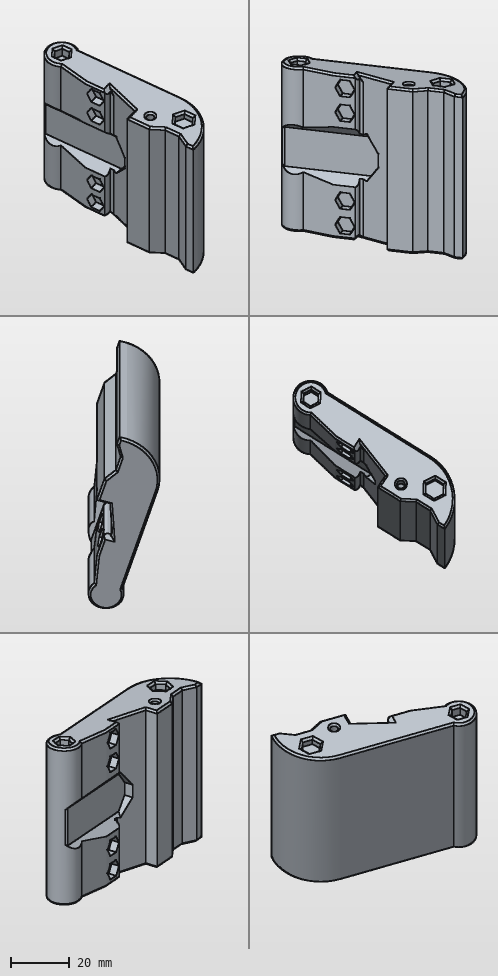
import cadquery as cq
import math

length = 69.35
height = 60.0
thickness = 20.1
edge_chamfer = 0.75

barrel_radius = 6.0
barrel_x = barrel_radius
barrel_y = thickness - barrel_radius
back_y = 18.8
nose_radius = 17.75
nose_start_x = 51.7
pad_y = 6.5
pad_start_x = 20.75
pad_end_x = 28.65
arm_root_x = 9.15
ramp_end_x = 42.15
ramp_end_y = 4.7
ramp_angle = 20.0
jaw_valley_y = 2.7
jaw_points = [
    (ramp_end_x, 0),
    (51.3, 0),
    (56.0, jaw_valley_y),
    (61.65, jaw_valley_y),
    (66.3, 0),
    (length, 0),
]

lip_round_y = 8.0
lip_tip_x = 29.5
lip_y = 8.9

pocket_floor_y = 9.9
pocket_floor_half = 7.15
pocket_start_x = 2.15
pocket_start_angle = 30.0
pocket_nose_x = 33.3
pocket_end_x = 36.9
pocket_end_half = 2.4

pad_socket_x = 24.9
pad_socket_flats = 6.0
pad_socket_depth = 3.0
pad_socket_offsets = (16.0, 25.05)
barrel_socket_flats = 5.0
barrel_socket_depth = 4.15
jaw_socket_flats = 6.0
jaw_socket_depth = 3.0
jaw_socket_center = (58.8, 10.0)
socket_chamfer = 0.8
drill_center = (48.35, 5.05)
drill_diameter = 2.8
drill_depth = 5.55
drill_chamfer = 0.7
drill_tip_angle = 118.0

mid_z = height / 2


def ramp_y(x):
    return ramp_end_y + (ramp_end_x - x) * math.tan(math.radians(ramp_angle))


def barrel_half_chord(offset):
    return math.sqrt(barrel_radius**2 - offset**2)


def hexagon_diameter(flats):
    return flats / math.cos(math.pi / 6)


def make_body():
    """Side profile extruded to full height, with both ends chamfered all round."""
    back_root_x = barrel_x + barrel_half_chord(back_y - barrel_y)
    arm_root_y = barrel_y - barrel_half_chord(arm_root_x - barrel_x)
    nose_center_y = back_y - nose_radius
    nose_end_angle = math.acos((length - nose_start_x) / nose_radius)
    nose_mid_angle = (math.pi / 2 + nose_end_angle) / 2
    nose_mid = (
        nose_start_x + nose_radius * math.cos(nose_mid_angle),
        nose_center_y + nose_radius * math.sin(nose_mid_angle),
    )
    nose_end = (length, nose_center_y + nose_radius * math.sin(nose_end_angle))
    profile = (
        cq.Workplane("XY")
        .moveTo(back_root_x, back_y)
        .lineTo(nose_start_x, back_y)
        .threePointArc(nose_mid, nose_end)
    )
    for point in reversed(jaw_points):
        profile = profile.lineTo(*point)
    profile = (
        profile.lineTo(ramp_end_x, ramp_end_y)
        .lineTo(pad_end_x, ramp_y(pad_end_x))
        .lineTo(pad_end_x, pad_y)
        .lineTo(pad_start_x, pad_y)
        .lineTo(arm_root_x, arm_root_y)
        .threePointArc((barrel_x - barrel_radius, barrel_y), (back_root_x, back_y))
        .close()
    )
    return profile.extrude(height).faces("|Z").chamfer(edge_chamfer)


def make_end_wedge(edge_x, edge_y, outward_angle):
    """Wedge that carries a bottom edge chamfer on at 45 degrees, away from a vertical face."""
    reach = 5.55
    angle = math.radians(outward_angle)
    outward = cq.Vector(math.cos(angle), math.sin(angle), 0)
    plane = cq.Plane(origin=(edge_x, edge_y, 0), xDir=outward, normal=outward.cross(cq.Vector(0, 0, 1)))
    outline = [(-edge_chamfer, 0), (reach, edge_chamfer + reach), (reach, 0)]
    return cq.Workplane(plane).polyline(outline).close().extrude(ramp_end_x, both=True)


def make_lip():
    """Rounded lip filling the corner between the pad wall and the ramp."""
    lip_end_x = ramp_end_x - (lip_y - ramp_end_y) / math.tan(math.radians(ramp_angle))
    round_size_x = lip_tip_x - pad_end_x
    round_size_y = lip_round_y - pad_y
    round_mid = (
        lip_tip_x - round_size_x * (1 - math.sin(math.pi / 4)),
        pad_y + round_size_y * (1 - math.cos(math.pi / 4)),
    )
    lip = (
        cq.Workplane("XY")
        .moveTo(pad_end_x, pad_y)
        .threePointArc(round_mid, (lip_tip_x, lip_round_y))
        .lineTo(lip_tip_x, lip_y)
        .lineTo(lip_end_x, lip_y)
        .lineTo(pad_end_x, ramp_y(pad_end_x))
        .close()
        .extrude(height)
    )
    wall_wedge = make_end_wedge(pad_end_x, pad_y, 0)
    ramp_wedge = make_end_wedge(ramp_end_x, ramp_end_y, -90 - ramp_angle)
    top_wedge = wall_wedge.mirror("XY", (0, 0, mid_z))
    return lip.cut(top_wedge).cut(wall_wedge.intersect(ramp_wedge))


def make_pocket():
    """Pocket with 45 degree flanks, a floor deepening at the barrel and a blunt upright point."""
    start_rise = pocket_start_x * math.tan(math.radians(pocket_start_angle))
    depth = pocket_floor_y + start_rise
    bottom_half = pocket_floor_half - start_rise
    mouth_half = bottom_half + depth
    flared = (
        cq.Workplane("YZ")
        .polyline([
            (0, mid_z - mouth_half),
            (depth, mid_z - bottom_half),
            (depth, mid_z + bottom_half),
            (0, mid_z + mouth_half),
        ])
        .close()
        .extrude(pocket_end_x)
    )
    beveled_floor = (
        cq.Workplane("XY")
        .polyline([
            (0, depth),
            (pocket_start_x, pocket_floor_y),
            (pocket_end_x, pocket_floor_y),
            (pocket_end_x, 0),
            (0, 0),
        ])
        .close()
        .extrude(height)
    )
    nose_slope = (pocket_floor_half - pocket_end_half) / (pocket_end_x - pocket_nose_x)
    outline_start_half = pocket_end_half + nose_slope * pocket_end_x
    outline = (
        cq.Workplane("XZ")
        .polyline([
            (0, mid_z - outline_start_half),
            (pocket_end_x, mid_z - pocket_end_half),
            (pocket_end_x, mid_z + pocket_end_half),
            (0, mid_z + outline_start_half),
        ])
        .close()
        .extrude(-depth)
    )
    return flared.intersect(beveled_floor).intersect(outline)


def make_pad_sockets():
    """Two pairs of hexagonal sockets in the pad, mirrored about mid height."""
    centers = [(pad_socket_x, mid_z + side * offset) for side in (-1, 1) for offset in pad_socket_offsets]
    return (
        cq.Workplane("XZ", origin=(0, pad_y, 0))
        .pushPoints(centers)
        .polygon(6, hexagon_diameter(pad_socket_flats))
        .extrude(-pad_socket_depth)
    )


def make_end_socket(center, flats, depth):
    """Hexagonal socket sunk from the top end, with a 45 degree lead-in."""
    top = cq.Workplane("XY", origin=(*center, height))
    socket = top.polygon(6, hexagon_diameter(flats)).extrude(-depth)
    lead_in = (
        top.polygon(6, hexagon_diameter(flats + 2 * socket_chamfer))
        .workplane(offset=-socket_chamfer)
        .polygon(6, hexagon_diameter(flats))
        .loft(combine=True)
    )
    return socket.union(lead_in)


def make_drilled_hole():
    """Blind hole with a countersunk mouth and a conical drill point."""
    radius = drill_diameter / 2
    tip_height = radius / math.tan(math.radians(drill_tip_angle / 2))
    half_section = [
        (0, 0),
        (radius + drill_chamfer, 0),
        (radius, -drill_chamfer),
        (radius, -drill_depth),
        (0, -drill_depth - tip_height),
    ]
    return (
        cq.Workplane("XZ")
        .polyline(half_section)
        .close()
        .revolve(360, (0, 0), (0, 1))
        .translate((*drill_center, height))
    )


result = (
    make_body()
    .union(make_lip())
    .cut(make_pocket())
    .cut(make_pad_sockets())
    .cut(make_end_socket((barrel_x, barrel_y), barrel_socket_flats, barrel_socket_depth))
    .cut(make_end_socket(jaw_socket_center, jaw_socket_flats, jaw_socket_depth))
    .cut(make_drilled_hole())
)